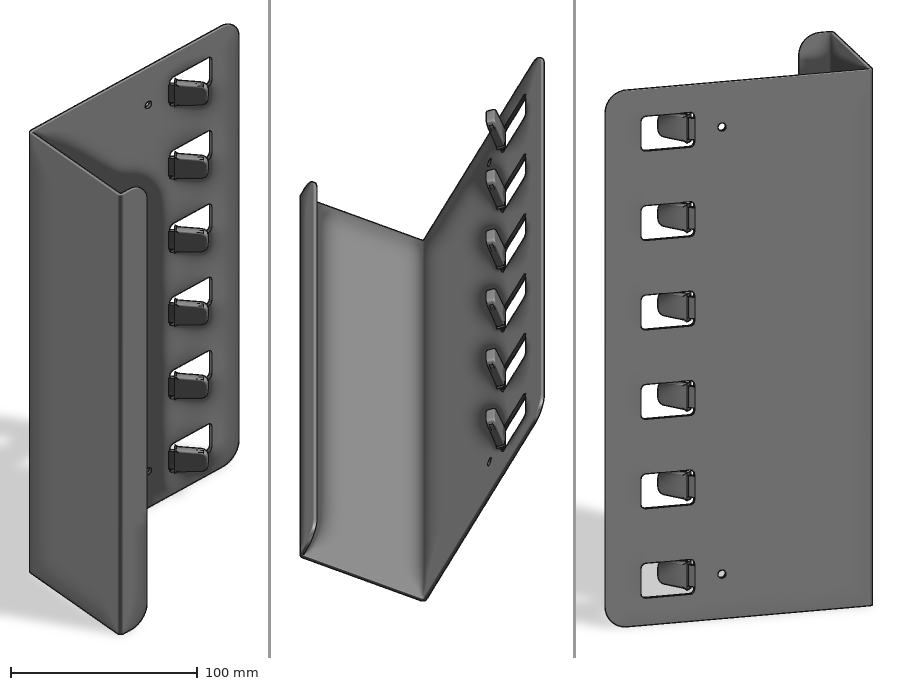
import cadquery as cq
import math

WIDTH = 75.0
DEPTH = 150.0
HEIGHT = 300.0

SHEET = 1.98
BEND_INNER = 0.5
BEND_OUTER = BEND_INNER + SHEET
LIP_DEPTH = 19.5
CORNER_RADIUS = 12.0
RIM_ROUNDING = 0.45

LEFT = -WIDTH / 2
RIGHT = WIDTH / 2
FRONT = -DEPTH / 2
BACK = DEPTH / 2

WINDOW_COUNT = 6
WINDOW_PITCH = HEIGHT / WINDOW_COUNT
WINDOW_LENGTH = 30.0
WINDOW_HEIGHT = 19.5
WINDOW_RADIUS = 2.7
WINDOW_FRONT_Y = 25.2
WINDOW_CENTRE_Y = WINDOW_FRONT_Y + WINDOW_LENGTH / 2
WINDOW_HEIGHTS = [(i - (WINDOW_COUNT - 1) / 2) * WINDOW_PITCH for i in range(WINDOW_COUNT)]

TAB_ANGLE = 45.0
TAB_HEIGHT = 12.0
TAB_LENGTH = 19.5

HOLE_DIAMETER = 4.5
HOLE_Y = 10.0

CAP_START = 4.0
CAP_LENGTH = 18.0
CAP_END = CAP_START + CAP_LENGTH
CAP_OUTER_WALL = 1.8
CAP_INNER_WALL = 1.2
CAP_THICKNESS = CAP_OUTER_WALL + SHEET + CAP_INNER_WALL
CAP_RIM_HEIGHT = 15.5
CAP_RIM_LENGTH = 1.0
CAP_HEIGHT = 14.5
CAP_TAPER = 3.0
CAP_TIP_RADIUS = 4.2
CAP_ROUNDING = 1.0


def tab_plane(height):
    """Plane on the outer face of a tab: x runs along the tab, y up, z out of its outer face."""
    angle = math.radians(TAB_ANGLE)
    return cq.Plane(
        origin=(LEFT, WINDOW_FRONT_Y, height),
        xDir=(math.sin(angle), math.cos(angle), 0),
        normal=(-math.cos(angle), math.sin(angle), 0),
    )


def make_channel():
    """Side wall, front wall and return lip as one bent sheet, with rounded corners and rim."""
    lip_back = FRONT + LIP_DEPTH
    channel = (
        cq.Workplane("XY")
        .workplane(offset=-HEIGHT / 2)
        .moveTo(LEFT, BACK)
        .lineTo(LEFT, FRONT)
        .lineTo(RIGHT, FRONT)
        .lineTo(RIGHT, lip_back)
        .lineTo(RIGHT - SHEET, lip_back)
        .lineTo(RIGHT - SHEET, FRONT + SHEET)
        .lineTo(LEFT + SHEET, FRONT + SHEET)
        .lineTo(LEFT + SHEET, BACK)
        .close()
        .extrude(HEIGHT)
    )
    channel = channel.edges("|Z and <Y").fillet(BEND_OUTER)
    inner_corners = cq.selectors.BoxSelector(
        (LEFT + SHEET / 2, FRONT + SHEET / 2, -HEIGHT),
        (RIGHT - SHEET / 2, FRONT + 2 * SHEET, HEIGHT),
    )
    channel = channel.edges("|Z").edges(inner_corners).fillet(BEND_INNER)
    lip_end = cq.selectors.BoxSelector(
        (RIGHT - 2 * SHEET, lip_back - SHEET, -HEIGHT),
        (RIGHT + SHEET, lip_back + SHEET, HEIGHT),
    )
    wall_corners = channel.faces(">Y").edges("|X")
    lip_corners = channel.faces(lip_end).edges("|X")
    channel = wall_corners.add(lip_corners).fillet(CORNER_RADIUS)
    return channel.faces("<Z or >Z").edges().fillet(RIM_ROUNDING)


def make_tab(height):
    """Flat tab leaving the front edge of its window at the tab angle, mitred into the wall."""
    angle = math.radians(TAB_ANGLE)
    along = (math.sin(angle), math.cos(angle))
    across = (math.cos(angle), -math.sin(angle))
    tip = (LEFT + TAB_LENGTH * along[0], WINDOW_FRONT_Y + TAB_LENGTH * along[1])
    root_y = WINDOW_FRONT_Y - SHEET * math.tan(angle / 2)
    return (
        cq.Workplane("XY")
        .workplane(offset=height - TAB_HEIGHT / 2)
        .moveTo(LEFT, WINDOW_FRONT_Y)
        .lineTo(*tip)
        .lineTo(tip[0] + SHEET * across[0], tip[1] + SHEET * across[1])
        .lineTo(LEFT + SHEET, root_y)
        .lineTo(LEFT, root_y)
        .close()
        .extrude(TAB_HEIGHT)
    )


def make_bracket():
    """Bent sheet with windows, mounting holes and tabs."""
    side_wall = cq.Workplane("YZ").workplane(offset=LEFT)
    windows = (
        side_wall.pushPoints([(WINDOW_CENTRE_Y, z) for z in WINDOW_HEIGHTS])
        .rect(WINDOW_LENGTH, WINDOW_HEIGHT)
        .extrude(SHEET)
        .edges("|X")
        .fillet(WINDOW_RADIUS)
    )
    holes = (
        side_wall.pushPoints([(HOLE_Y, WINDOW_HEIGHTS[0]), (HOLE_Y, WINDOW_HEIGHTS[-1])])
        .circle(HOLE_DIAMETER / 2)
        .extrude(SHEET)
    )
    bracket = make_channel().cut(windows).cut(holes)
    for height in WINDOW_HEIGHTS:
        bracket = bracket.union(make_tab(height))
    return bracket


def make_cap(height):
    """Tapered cap with a wider rim at its open end, rounded at the tip and slotted for the tab."""
    plane = tab_plane(height)
    rim_end = CAP_START + CAP_RIM_LENGTH
    rim_half = CAP_RIM_HEIGHT / 2
    body_half = CAP_HEIGHT / 2
    tip_half = body_half - (CAP_END - rim_end) * math.tan(math.radians(CAP_TAPER))
    cap = (
        cq.Workplane(plane)
        .workplane(offset=CAP_OUTER_WALL)
        .moveTo(CAP_START, -rim_half)
        .lineTo(rim_end, -body_half)
        .lineTo(CAP_END, -tip_half)
        .lineTo(CAP_END, tip_half)
        .lineTo(rim_end, body_half)
        .lineTo(CAP_START, rim_half)
        .close()
        .extrude(-CAP_THICKNESS)
    )
    cap = cap.edges(cq.selectors.ParallelDirSelector(plane.zDir)).edges(">Y").fillet(CAP_TIP_RADIUS)
    tip_face = cap.faces(cq.selectors.DirectionMinMaxSelector(plane.xDir))
    tip_edges = tip_face.edges(cq.selectors.ParallelDirSelector(plane.yDir))
    cap = tip_edges.fillet(CAP_ROUNDING)
    return cap.cut(make_tab(height))


bracket = make_bracket()
caps = [make_cap(height) for height in WINDOW_HEIGHTS]

result = cq.Compound.makeCompound([bracket.val(), *[cap.val() for cap in caps]])